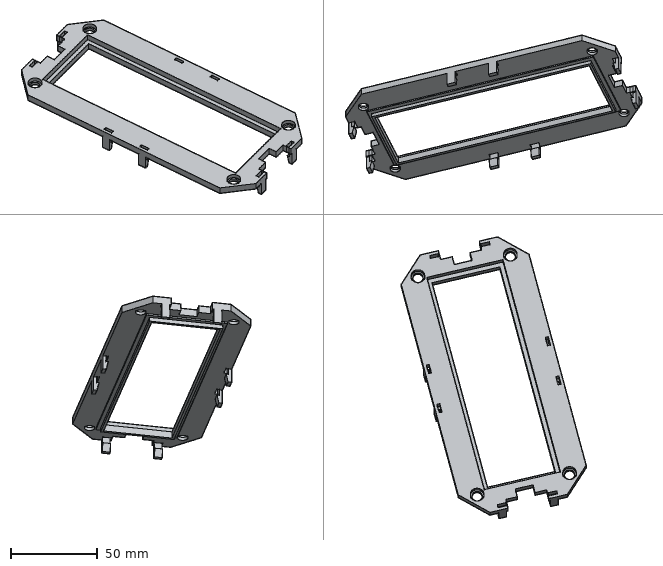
import cadquery as cq

plate_length = 165.0
plate_width = 76.0
plate_thickness = 4.5
corner_chamfer = 15.0
total_height = 13.0

outer_notch_depth = 5.6
outer_notch_width = 24.3
inner_notch_depth = 10.5
inner_notch_width = 10.5

opening_length = 131.0
opening_width = 40.3
ledge_width = 2.5
ledge_depth = 3.8
rim_wall = 1.5
rim_depth = 8.0
flange_overhang = 2.3
flange_depth = 5.5

hole_diameter = 6.0
counterbore_diameter = 8.0
counterbore_depth = 2.5
hole_end_inset = 12.5
hole_side_inset = 10.5

side_hook_offset = 12.7
side_hook_width = 5.0
end_hook_offset = 15.3
end_hook_width = 4.6
hook_thickness = 1.8
barb_reach = 3.3
barb_depth = 8.0
tip_thickness = 2.1
side_slot_width = 1.6
end_slot_width = 1.8
side_slot_clearance = 0.3
end_slot_clearance = 0.5


def block(length, width, top, bottom):
    """Centred rectangular block between two depths below the plate top."""
    return cq.Workplane("XY").workplane(offset=-bottom).rect(length, width).extrude(bottom - top)


def plate():
    body = block(plate_length, plate_width, 0, plate_thickness)
    body = body.edges("|Z").chamfer(corner_chamfer)
    for depth, width in (
        (outer_notch_depth, outer_notch_width),
        (inner_notch_depth, inner_notch_width),
    ):
        for end in (-1, 1):
            notch = block(2 * depth, width, 0, plate_thickness)
            body = body.cut(notch.translate((end * plate_length / 2, 0, 0)))
    return body


def add_window(body):
    rim_length = opening_length + 2 * rim_wall
    rim_width = opening_width + 2 * rim_wall
    flange = block(
        rim_length + 2 * flange_overhang, rim_width + 2 * flange_overhang, plate_thickness, flange_depth
    )
    rim = block(rim_length, rim_width, plate_thickness, rim_depth)
    recess = block(opening_length + 2 * ledge_width, opening_width + 2 * ledge_width, 0, ledge_depth)
    opening = block(opening_length, opening_width, 0, rim_depth)
    return body.union(flange).union(rim).cut(recess).cut(opening)


def cut_screw_holes(body):
    return (
        body.faces(">Z")
        .workplane(origin=(0, 0, 0))
        .rect(plate_length - 2 * hole_end_inset, plate_width - 2 * hole_side_inset, forConstruction=True)
        .vertices()
        .cboreHole(hole_diameter, counterbore_diameter, counterbore_depth)
    )


def hook(width):
    """Hook on the XZ plane: back face at X = 0, barb toward +X, centred on Y."""
    profile = [
        (0, -plate_thickness),
        (hook_thickness, -plate_thickness),
        (hook_thickness, -barb_depth),
        (barb_reach, -barb_depth),
        (tip_thickness, -total_height),
        (0, -total_height),
    ]
    return cq.Workplane("XZ").polyline(profile).close().extrude(width / 2, both=True)


def hook_pair(body, angle, edge_distance, offset, hook_width, slot_width, clearance):
    """Add two hooks to one edge; each slot outruns its barb toward the middle of the edge."""

    def place(shape, along_edge):
        moved = shape.translate((-edge_distance, along_edge, 0))
        return moved.rotate((0, 0, 0), (0, 0, 1), angle)

    slot = block(slot_width, hook_width + clearance, 0, plate_thickness)
    slot = slot.translate((hook_thickness + slot_width / 2, 0, 0))
    for side in (-1, 1):
        body = body.union(place(hook(hook_width), side * offset))
        body = body.cut(place(slot, side * (offset - clearance / 2)))
    return body


def add_hooks(body):
    for angle in (0, 180):
        body = hook_pair(
            body, angle, plate_length / 2,
            end_hook_offset, end_hook_width, end_slot_width, end_slot_clearance,
        )
    for angle in (90, 270):
        body = hook_pair(
            body, angle, plate_width / 2,
            side_hook_offset, side_hook_width, side_slot_width, side_slot_clearance,
        )
    return body


result = plate()
result = add_window(result)
result = cut_screw_holes(result)
result = add_hooks(result)